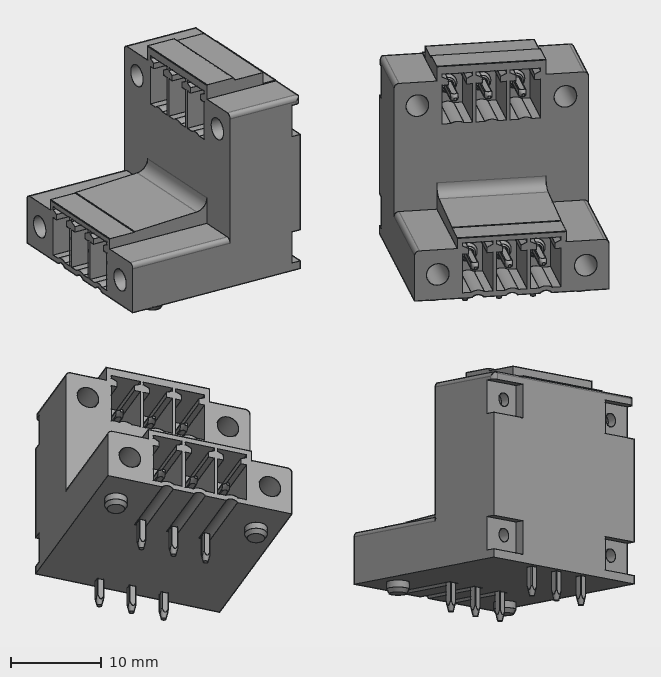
import cadquery as cq


width = 21.82
depth = 21.9
upper_depth = 9.2
lower_height = 5.89
tier_pitch = 15.24
upper_height = 20.97
edge_radius = 0.55
rear_edge_radius = 0.2

hood_width = 12.24
hood_chamfer = 0.06
upper_hood_top = 22.7
upper_hood_step_drop = 0.3
upper_hood_rear = 1.83
upper_hood_step = 5.7
upper_hood_step_run = 0.2
rear_strip_height = 0.12
lower_hood_top = 7.13
lower_hood_step_drop = 0.06
lower_hood_flat = 3.25
lower_hood_slope_top = 7.66
hood_root_radius = 1.4

contact_pitch = 3.81
contact_columns = [-contact_pitch, 0, contact_pitch]
contact_height = 2.98

cavity_width = 3.42
cavity_depth = 6.5
cavity_floor = 0.63
cavity_shoulder = 5.17
neck_width = 2.06
neck_top = 5.82
key_flare_top = 6.15
cavity_roof = 6.49
floor_rib_width = 1.5
floor_rib_height = 0.21

boss_base_radius = 1.1
boss_shoulder_radius = 0.84
boss_tip_radius = 0.64
boss_shoulder_length = 0.5
boss_length = 0.65

pin_size = 0.84
pin_chamfer = 0.1
pin_tip_length = 0.64
contact_tip_radius = 0.17
tail_tip_radius = 0.26
pin_drop = 3.2
tail_setback = 8.0
contact_tip_setback = 1.2

groove_width = 1.3
groove_height = 0.3

hole_spacing = 16.6
hole_radius = 1.27
hole_depth = 7.0
bore_radius = 0.75
slot_height = 3.77
slot_depth = 1.07
slot_top_gap = 0.9
slot_floor_lower = 0.94
slot_length = (width - hole_spacing + slot_height) / 2

peg_radius = 1.26
peg_tip_radius = 0.96
peg_length = 1.28
peg_taper_length = 0.5
peg_y = -17.68

tiers = [(-depth, 0), (-upper_depth, tier_pitch)]


def tier_block(tier_depth, height):
    """Block of full width with both long top edges rounded."""
    block = cq.Workplane("XY").box(width, tier_depth, height, centered=(True, False, False))
    block = block.translate((0, -tier_depth, 0))
    return block.faces(">Z").edges("|Y").fillet(edge_radius)


def nut_slots():
    """Side slots in the rear face, one behind every fastening hole."""
    slots = cq.Workplane("XY")
    for floor in (slot_floor_lower, upper_height - slot_top_gap - slot_height):
        for side in (-1, 1):
            slot = cq.Workplane("XY").box(slot_length, slot_depth, slot_height, centered=(True, False, False))
            slots = slots.add(slot.translate((side * (width - slot_length) / 2, -slot_depth, floor)))
    return slots.combine()


def rounding_cutter(plane, radius, length):
    """Bar that rounds the corner at the plane origin, whose material lies towards -x and -y."""
    return (
        cq.Workplane(plane)
        .moveTo(0, -radius)
        .lineTo(0, 0)
        .lineTo(-radius, 0)
        .radiusArc((0, -radius), radius)
        .close()
        .extrude(length)
    )


def rear_roundings():
    """Cutters for the rear top edge and for the rear corners above the upper nut slots."""
    right_corner = cq.Plane(origin=(width / 2, 0, upper_height - slot_top_gap))
    top_edge = cq.Plane(origin=(-width / 2, 0, upper_height), xDir=(0, 1, 0), normal=(1, 0, 0))
    right = rounding_cutter(right_corner, edge_radius, slot_top_gap)
    top = rounding_cutter(top_edge, rear_edge_radius, width)
    return right.union(right.mirror("YZ")).union(top)


def extrude_hood(profile):
    """Extrude a side profile over the hood width."""
    return profile.extrude(hood_width / 2, both=True)


def upper_hood():
    """Stepped hood with the thin strip that reaches back to the rear edge."""
    rear_top = upper_hood_top - upper_hood_step_drop
    strip_top = upper_height + rear_strip_height
    profile = (
        cq.Workplane("YZ")
        .moveTo(-upper_depth, contact_height + tier_pitch)
        .lineTo(-upper_depth, upper_hood_top - hood_chamfer)
        .lineTo(-upper_depth + hood_chamfer, upper_hood_top)
        .lineTo(-upper_hood_step, upper_hood_top)
        .lineTo(-upper_hood_step + upper_hood_step_run, rear_top)
        .lineTo(-upper_hood_rear, rear_top)
        .lineTo(-upper_hood_rear, strip_top)
        .lineTo(-rear_edge_radius, strip_top)
        .lineTo(-rear_edge_radius, contact_height + tier_pitch)
        .close()
    )
    return extrude_hood(profile)


def lower_hood():
    """Gently sloped hood that blends into the front face of the upper tier."""
    step_y = -depth + lower_hood_flat
    profile = (
        cq.Workplane("YZ")
        .moveTo(-depth, contact_height)
        .lineTo(-depth, lower_hood_top - hood_chamfer)
        .lineTo(-depth + hood_chamfer, lower_hood_top)
        .lineTo(step_y, lower_hood_top)
        .lineTo(step_y + lower_hood_step_drop, lower_hood_top + lower_hood_step_drop)
        .lineTo(-upper_depth, lower_hood_slope_top)
        .lineTo(-upper_depth, lower_hood_slope_top + 2 * hood_root_radius)
        .lineTo(-upper_hood_step, lower_hood_slope_top + 2 * hood_root_radius)
        .lineTo(-upper_hood_step, contact_height)
        .close()
    )
    hood = extrude_hood(profile)
    root = cq.selectors.NearestToPointSelector((0, -upper_depth, lower_hood_slope_top))
    return hood.edges("|X").edges(root).fillet(hood_root_radius)


def cavity(column, front, lift):
    """Keyed cavity with an arched rib on its floor and a conical boss on its rear wall."""
    half = cavity_width / 2
    neck = neck_width / 2
    rib = floor_rib_width / 2
    pocket = (
        cq.Workplane("XZ")
        .moveTo(-half, cavity_floor)
        .lineTo(-rib, cavity_floor)
        .threePointArc((0, cavity_floor + floor_rib_height), (rib, cavity_floor))
        .lineTo(half, cavity_floor)
        .lineTo(half, cavity_shoulder)
        .lineTo(neck, cavity_shoulder)
        .lineTo(neck, neck_top)
        .lineTo(half, key_flare_top)
        .lineTo(half, cavity_roof)
        .lineTo(-half, cavity_roof)
        .lineTo(-half, key_flare_top)
        .lineTo(-neck, neck_top)
        .lineTo(-neck, cavity_shoulder)
        .lineTo(-half, cavity_shoulder)
        .close()
        .extrude(-cavity_depth)
    )
    boss = (
        cq.Workplane("XY", origin=(0, cavity_depth, contact_height))
        .lineTo(boss_base_radius, 0)
        .lineTo(boss_shoulder_radius, -boss_shoulder_length)
        .lineTo(boss_tip_radius, -boss_length)
        .lineTo(0, -boss_length)
        .close()
        .revolve(360, (0, 0, 0), (0, 1, 0))
    )
    return pocket.cut(boss).translate((column, front, lift))


def tail_groove(column):
    """Arched groove in the underside from the front face to the lower pin tail."""
    half = groove_width / 2
    return (
        cq.Workplane("XZ")
        .moveTo(-half, 0)
        .threePointArc((0, groove_height), (half, 0))
        .close()
        .extrude(-(tail_setback + pin_size / 2))
        .translate((column, -depth, 0))
    )


def fastening_hole(side, front, lift):
    """Wide front hole that continues to the rear face as a narrow bore."""
    x = side * hole_spacing / 2
    start = cq.Vector(x, front, contact_height + lift)
    rearward = cq.Vector(0, 1, 0)
    wide = cq.Solid.makeCylinder(hole_radius, hole_depth, start, rearward)
    bore = cq.Solid.makeCylinder(bore_radius, -front, start, rearward)
    return wide.fuse(bore)


def peg(side):
    """Locating peg with a tapered end under the front tier."""
    taper_start = peg_length - peg_taper_length
    return (
        cq.Workplane("XZ")
        .moveTo(0, 0)
        .lineTo(peg_radius, 0)
        .lineTo(peg_radius, -taper_start)
        .lineTo(peg_tip_radius, -peg_length)
        .lineTo(0, -peg_length)
        .close()
        .revolve(360, (0, 0, 0), (0, 1, 0))
        .translate((side * hole_spacing / 2, peg_y, 0))
    )


def pin_leg(length, tip_radius):
    """Square bar along +Z with bevelled edges and a conical end."""
    half = pin_size / 2
    bar = cq.Workplane("XY").rect(pin_size, pin_size).extrude(length).edges("|Z").chamfer(pin_chamfer)
    flare_radius = 2 * half
    flare_start = length - pin_tip_length * (flare_radius - tip_radius) / (half - tip_radius)
    envelope = (
        cq.Workplane("XZ")
        .lineTo(flare_radius, 0)
        .lineTo(flare_radius, flare_start)
        .lineTo(tip_radius, length)
        .lineTo(0, length)
        .close()
        .revolve(360, (0, 0, 0), (0, 1, 0))
    )
    return bar.intersect(envelope)


def pin(column, front, lift):
    """Right-angle pin: a contact that points forward and a tail that points down."""
    half = pin_size / 2
    axis_height = contact_height + lift
    contact = pin_leg(tail_setback - contact_tip_setback + half, contact_tip_radius)
    contact = contact.rotate((0, 0, 0), (1, 0, 0), 90).translate((0, half, 0))
    tail = pin_leg(axis_height + pin_drop + half, tail_tip_radius)
    tail = tail.rotate((0, 0, 0), (1, 0, 0), 180).translate((0, 0, half))
    return contact.union(tail).translate((column, front + tail_setback, axis_height))


pins = [pin(column, front, lift) for front, lift in tiers for column in contact_columns]

housing = tier_block(upper_depth, upper_height)
housing = housing.union(tier_block(depth, lower_height))
housing = housing.cut(nut_slots()).cut(rear_roundings())
housing = housing.union(upper_hood()).union(lower_hood())
for side in (-1, 1):
    housing = housing.union(peg(side))
    for front, lift in tiers:
        housing = housing.cut(cq.Workplane("XY").add(fastening_hole(side, front, lift)))
for column in contact_columns:
    housing = housing.cut(tail_groove(column))
    for front, lift in tiers:
        housing = housing.cut(cavity(column, front, lift))
for one_pin in pins:
    housing = housing.cut(one_pin)

result = cq.Compound.makeCompound([housing.solids().val(), *[one_pin.solids().val() for one_pin in pins]])